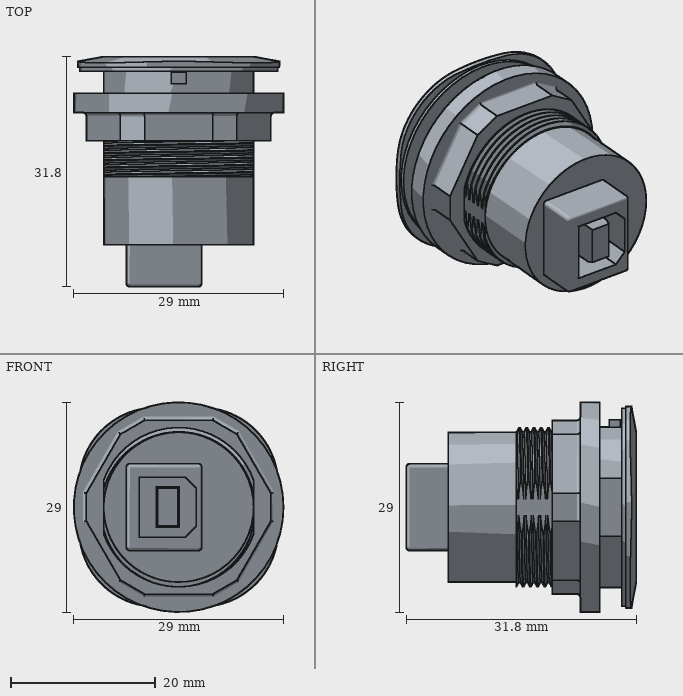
import cadquery as cq
import math


CAP_RIM_BOTTOM = 1.5
CAP_BOTTOM = 2.05
FLANGE_TOP = 5.05
FLANGE_BOTTOM = 7.75
NUT_BOTTOM = 11.65
THREAD_END = 16.6
BODY_END = 26.0
TOTAL_DEPTH = 31.8

CROWN_RADIUS = 10.35
CAP_HALF_WIDTH = 13.95
CAP_SIDE_END = (4.39, 13.7)
CAP_DIAGONAL_RADIUS = 15.04
CONE_DROP = 0.66
CAP_PLATE_DIAMETER = 27.4

BODY_DIAMETER = 20.7
NECK_DIAMETER = 22.2
KEY_WIDTH = 2.05
KEY_TOP_DEPTH = 2.2
KEY_BOTTOM_DEPTH = 3.75
KEY_HEIGHT = 12.1

FLANGE_DIAMETER = 29.0
NUT_ACROSS_FLATS = 24.0
NUT_ACROSS_CORNER_FACES = 25.5
NUT_ROOT_FILLET = 0.5

THREAD_DIAMETER = 22.0
THREAD_ROOT_DIAMETER = 20.83
THREAD_PITCH = 1.0
THREAD_CREST_WIDTH = THREAD_PITCH / 8
THREAD_BASE_WIDTH = 0.85 * THREAD_PITCH
THREAD_OVERLAP = 0.1
THREAD_START = 10.89

HOUSING_CENTER_X = -2.01
HOUSING_WIDTH = 10.44
HOUSING_HEIGHT = 12.0
HOUSING_FILLET = 0.5
SOCKET_CENTER_X = -1.52
SOCKET_WIDTH = 7.85
SOCKET_HEIGHT = 8.3
SOCKET_CORNER = 1.5
SOCKET_DEPTH = 5.8
TONGUE_WIDTH = 3.2
TONGUE_HEIGHT = 5.6
TONGUE_CHAMFER_LENGTH = 0.8
TONGUE_CHAMFER_INSET = 0.2
TONGUE_RECESS = 0.25


def plane_at(depth):
    """Sketch plane at a depth: local x is X, local y is Z, extrusion goes toward -Y."""
    return cq.Workplane("XZ", origin=(0, -depth, 0))


def cylinder(diameter, top, bottom):
    return plane_at(top).circle(diameter / 2).extrude(bottom - top)


def flatted(body):
    """Cut a round section down to the two flats that are level with the body sides."""
    slab = cq.Workplane("XY").box(BODY_DIAMETER, 3 * TOTAL_DEPTH, 2 * FLANGE_DIAMETER)
    return body.intersect(slab)


def quarter_turns(x, z, count):
    """Turn a point clockwise about the axis by a number of quarter turns."""
    for _ in range(count):
        x, z = z, -x
    return x, z


def make_cap():
    side_x, side_z = CAP_SIDE_END
    diagonal = CAP_DIAGONAL_RADIUS / math.sqrt(2)
    outline = plane_at(0).moveTo(-side_x, side_z)
    for turn in range(4):
        side_middle = quarter_turns(0, CAP_HALF_WIDTH, turn)
        side_end = quarter_turns(side_x, side_z, turn)
        corner_middle = quarter_turns(diagonal, diagonal, turn)
        corner_end = quarter_turns(side_z, side_x, turn)
        outline = outline.threePointArc(side_middle, side_end).threePointArc(corner_middle, corner_end)
    blank = outline.close().extrude(CAP_RIM_BOTTOM)
    cone_slope = (CAP_HALF_WIDTH - CROWN_RADIUS) / CONE_DROP
    cone_radius = CROWN_RADIUS + cone_slope * CAP_RIM_BOTTOM
    cone = (
        cq.Workplane("XY")
        .polyline([(0, 0), (CROWN_RADIUS, 0), (cone_radius, -CAP_RIM_BOTTOM), (0, -CAP_RIM_BOTTOM)])
        .close()
        .revolve(360, (0, 0, 0), (0, 1, 0))
    )
    plate = cylinder(CAP_PLATE_DIAMETER, CAP_RIM_BOTTOM, CAP_BOTTOM)
    return blank.intersect(cone).union(plate)


def make_neck():
    neck = flatted(cylinder(NECK_DIAMETER, CAP_BOTTOM, FLANGE_TOP))
    key = (
        plane_at(KEY_TOP_DEPTH)
        .center(0, KEY_HEIGHT / 2)
        .rect(KEY_WIDTH, KEY_HEIGHT)
        .extrude(KEY_BOTTOM_DEPTH - KEY_TOP_DEPTH)
    )
    return neck.union(key)


def nut_outline():
    """Hexagon with its corners cut off: twelve points, two around each corner."""
    corner_face = NUT_ACROSS_CORNER_FACES / 2
    full_corner = NUT_ACROSS_FLATS / math.sqrt(3)
    half_width = (full_corner - corner_face) * math.tan(math.radians(60))
    half_angle = math.atan2(half_width, corner_face)
    radius = math.hypot(half_width, corner_face)
    points = []
    for index in range(6):
        for side in (-1, 1):
            angle = index * math.pi / 3 + side * half_angle
            points.append((radius * math.cos(angle), radius * math.sin(angle)))
    return points


def make_nut():
    flange = cylinder(FLANGE_DIAMETER, FLANGE_TOP, FLANGE_BOTTOM)
    nut = plane_at(FLANGE_BOTTOM).polyline(nut_outline()).close().extrude(NUT_BOTTOM - FLANGE_BOTTOM)
    flanged_nut = flange.union(nut)
    flange_ring = flanged_nut.faces("|Y").faces("<Y[1]")
    return flange_ring.edges("%LINE").fillet(NUT_ROOT_FILLET)


def make_thread():
    root_radius = THREAD_ROOT_DIAMETER / 2
    inner = root_radius - THREAD_OVERLAP
    outer = THREAD_DIAMETER / 2
    half_base = THREAD_BASE_WIDTH / 2
    half_crest = THREAD_CREST_WIDTH / 2
    length = THREAD_END + THREAD_PITCH - THREAD_START
    path = cq.Wire.makeHelix(THREAD_PITCH, length, root_radius)
    ridge = (
        cq.Workplane("XZ")
        .polyline([(inner, -half_base), (outer, -half_crest), (outer, half_crest), (inner, half_base)])
        .close()
        .sweep(cq.Workplane(path), isFrenet=True)
        .rotate((0, 0, 0), (1, 0, 0), 90)
        .translate((0, -THREAD_START, 0))
    )
    reach = cylinder(FLANGE_DIAMETER, NUT_BOTTOM, THREAD_END)
    core = cylinder(THREAD_ROOT_DIAMETER, NUT_BOTTOM, THREAD_END)
    return flatted(core.union(ridge.intersect(reach)))


def make_connector():
    housing = (
        plane_at(BODY_END)
        .center(HOUSING_CENTER_X, 0)
        .rect(HOUSING_WIDTH, HOUSING_HEIGHT)
        .extrude(TOTAL_DEPTH - BODY_END)
        .edges("|Y or <Y")
        .fillet(HOUSING_FILLET)
    )
    socket_floor = TOTAL_DEPTH - SOCKET_DEPTH
    socket = (
        plane_at(socket_floor)
        .center(SOCKET_CENTER_X, 0)
        .rect(SOCKET_WIDTH, SOCKET_HEIGHT)
        .extrude(SOCKET_DEPTH)
        .edges("|Y and >X")
        .chamfer(SOCKET_CORNER)
    )
    tongue = (
        plane_at(socket_floor)
        .center(SOCKET_CENTER_X, 0)
        .rect(TONGUE_WIDTH, TONGUE_HEIGHT)
        .extrude(SOCKET_DEPTH - TONGUE_RECESS)
        .faces("<Y")
        .chamfer(TONGUE_CHAMFER_LENGTH, TONGUE_CHAMFER_INSET)
    )
    return housing.cut(socket).union(tongue)


body = cylinder(BODY_DIAMETER, THREAD_END, BODY_END)
result = (
    make_cap()
    .union(make_neck())
    .union(make_nut())
    .union(make_thread())
    .union(body)
    .union(make_connector())
)